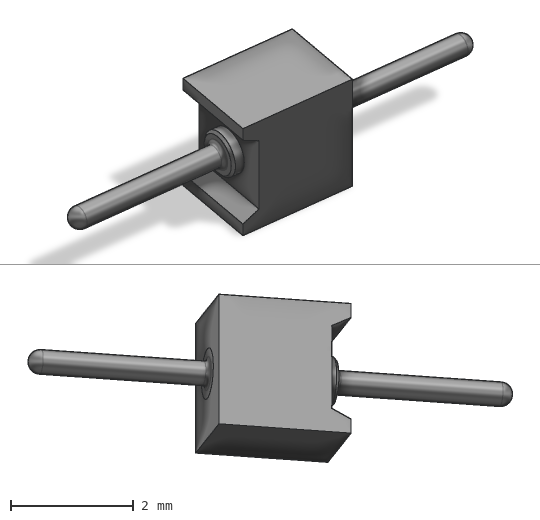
import cadquery as cq
import math

housing_width = 1.65
housing_size = 2.21
housing_front = -housing_size / 2
housing_rear = housing_size / 2

channel_depth = 0.32
channel_mouth_height = 1.73
channel_floor_height = 1.41
channel_floor = housing_front + channel_depth

pin_length = 8.1
pin_rear_length = 3.0
pin_radius = 0.2
pin_rear_tip = housing_rear + pin_rear_length
pin_front_tip = pin_rear_tip - pin_length
collar_radius = 0.42
collar_projection = 0.23
collar_chamfer = 0.05
collar_front = channel_floor - collar_projection
root_fillet = 0.07


def make_housing():
    """Block with a channel along X in its front face and a bore along Y."""
    block = cq.Workplane("XY").box(housing_width, housing_size, housing_size)
    channel = (
        cq.Workplane("YZ")
        .moveTo(housing_front, channel_mouth_height / 2)
        .lineTo(channel_floor, channel_floor_height / 2)
        .lineTo(channel_floor, -channel_floor_height / 2)
        .lineTo(housing_front, -channel_mouth_height / 2)
        .close()
        .extrude(housing_width / 2, both=True)
    )
    bore = cq.Workplane("XZ").circle(collar_radius).extrude(housing_size / 2, both=True)
    return block.cut(channel).cut(bore)


def make_pin():
    """Revolved pin with round tips, filleted roots and a chamfered collar."""
    arc_middle = math.sqrt(0.5)
    tip_middle = pin_radius * arc_middle
    root_middle = root_fillet * (1 - arc_middle)
    root_radius = pin_radius + root_fillet
    profile = (
        cq.Workplane("XY")
        .moveTo(0, pin_front_tip)
        .threePointArc(
            (tip_middle, pin_front_tip + pin_radius - tip_middle),
            (pin_radius, pin_front_tip + pin_radius),
        )
        .lineTo(pin_radius, collar_front - root_fillet)
        .threePointArc(
            (pin_radius + root_middle, collar_front - root_middle),
            (root_radius, collar_front),
        )
        .lineTo(collar_radius - collar_chamfer, collar_front)
        .lineTo(collar_radius, collar_front + collar_chamfer)
        .lineTo(collar_radius, housing_rear)
        .lineTo(root_radius, housing_rear)
        .threePointArc(
            (pin_radius + root_middle, housing_rear + root_middle),
            (pin_radius, housing_rear + root_fillet),
        )
        .lineTo(pin_radius, pin_rear_tip - pin_radius)
        .threePointArc(
            (tip_middle, pin_rear_tip - pin_radius + tip_middle),
            (0, pin_rear_tip),
        )
        .close()
    )
    return profile.revolve(360, (0, 0, 0), (0, 1, 0))


housing = make_housing()
pin = make_pin()
result = cq.Compound.makeCompound([housing.val(), pin.val()])